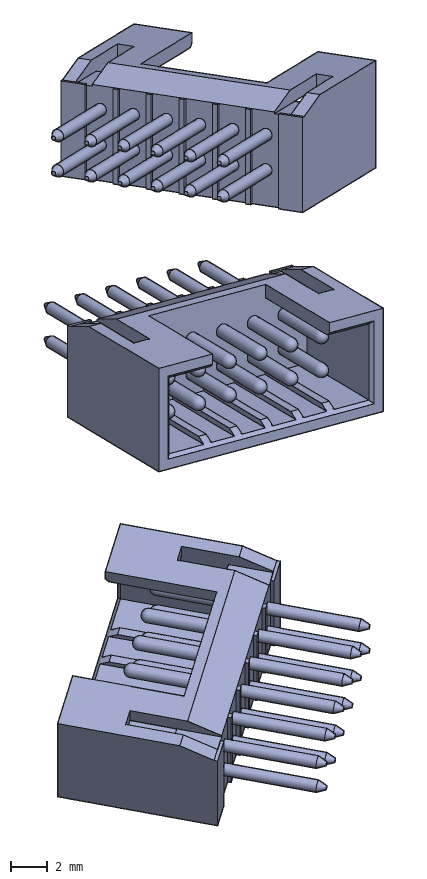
import cadquery as cq


width = 14.6
height = 6.1
depth = 8.9
wall = 0.8
standoff = 0.2
cavity_depth = 6.2
mouth_chamfer = 0.2
cavity_floor_y = depth - cavity_depth
cavity_width = width - 2 * wall
cavity_top = height - wall

slope_end_y = depth - 6.8
slope_drop = 0.7
standoff_top = height - slope_drop

pitch = 2.0
columns = 6
rows = 2
tail_length = 5.5
tail_diameter = 0.7
tail_point_length = 0.5
tail_tip_diameter = 0.24
contact_diameter = 0.8
contact_length = 4.0
contact_tip_radius = 0.39

pad_width = 1.45
ridge_width = 0.3

window_width = 7.6
slot_width = 1.0
slot_end_y = depth - 3.6

rib_width = 0.5
rib_height = 0.3
rib_lead_length = 0.5

column_positions = [(i - (columns - 1) / 2) * pitch for i in range(columns)]
row_positions = [height / 2 + (j - (rows - 1) / 2) * pitch for j in range(rows)]
gap_positions = [x + pitch / 2 for x in column_positions[:-1]]


def block(x_center, x_size, y_min, y_max, z_min, z_max):
    """Box centred on x_center that spans the given Y and Z limits."""
    box = cq.Workplane("XY").box(x_size, y_max - y_min, z_max - z_min, centered=(True, False, False))
    return box.translate((x_center, y_min, z_min))


def make_shell():
    """Housing body with its sloped edge and the chamfered mating cavity."""
    profile = [
        (standoff, 0),
        (depth, 0),
        (depth, height),
        (slope_end_y, height),
        (standoff, standoff_top),
    ]
    body = cq.Workplane("YZ").polyline(profile).close().extrude(width / 2, both=True)
    cavity = block(0, cavity_width, cavity_floor_y, depth, wall, cavity_top)
    body = body.cut(cavity)
    mouth_edges = body.faces(">Y").val().innerWires()[0].Edges()
    return body.newObject(mouth_edges).chamfer(mouth_chamfer)


def cut_upper_wall(body):
    """Open the central window and the two side slots in the upper wall."""
    body = body.cut(block(0, window_width, cavity_floor_y, depth, cavity_top, height))
    slot_center = (cavity_width - slot_width) / 2
    for side in (-1, 1):
        body = body.cut(block(side * slot_center, slot_width, standoff, slot_end_y, cavity_top, height))
    return body


def add_standoffs(body):
    """Add the end pads and the narrow ridges between contact columns."""
    pad_center = (width - pad_width) / 2
    for side in (-1, 1):
        body = body.union(block(side * pad_center, pad_width, 0, standoff, 0, standoff_top))
    for x in gap_positions:
        body = body.union(block(x, ridge_width, 0, standoff, 0, standoff_top))
    return body


def add_floor_ribs(body):
    """Add lead-in ribs along the lower cavity wall, one in each column gap."""
    rib_end_y = depth - mouth_chamfer
    profile = [
        (cavity_floor_y, wall),
        (rib_end_y, wall),
        (rib_end_y - rib_lead_length, wall + rib_height),
        (cavity_floor_y, wall + rib_height),
    ]
    rib = cq.Workplane("YZ").polyline(profile).close().extrude(rib_width / 2, both=True)
    for x in gap_positions:
        body = body.union(rib.translate((x, 0, 0)))
    return body


def make_pin():
    """One contact on the Y axis: pointed tail, housing section and round-ended contact."""
    tail_radius = tail_diameter / 2
    contact = (
        cq.Workplane("XZ", origin=(0, cavity_floor_y, 0))
        .circle(contact_diameter / 2)
        .extrude(-contact_length)
        .faces(">Y")
        .edges()
        .fillet(contact_tip_radius)
    )
    tail_profile = [
        (0, cavity_floor_y),
        (tail_radius, cavity_floor_y),
        (tail_radius, tail_point_length - tail_length),
        (tail_tip_diameter / 2, -tail_length),
        (0, -tail_length),
    ]
    tail = cq.Workplane("XY").polyline(tail_profile).close().revolve(360, (0, 0, 0), (0, 1, 0))
    return contact.union(tail)


def add_pins(body):
    """Place a pin at every row and column."""
    pin = make_pin()
    for x in column_positions:
        for z in row_positions:
            body = body.union(pin.translate((x, 0, z)))
    return body


shell = cut_upper_wall(make_shell())
housing = add_floor_ribs(add_standoffs(shell))
result = add_pins(housing)